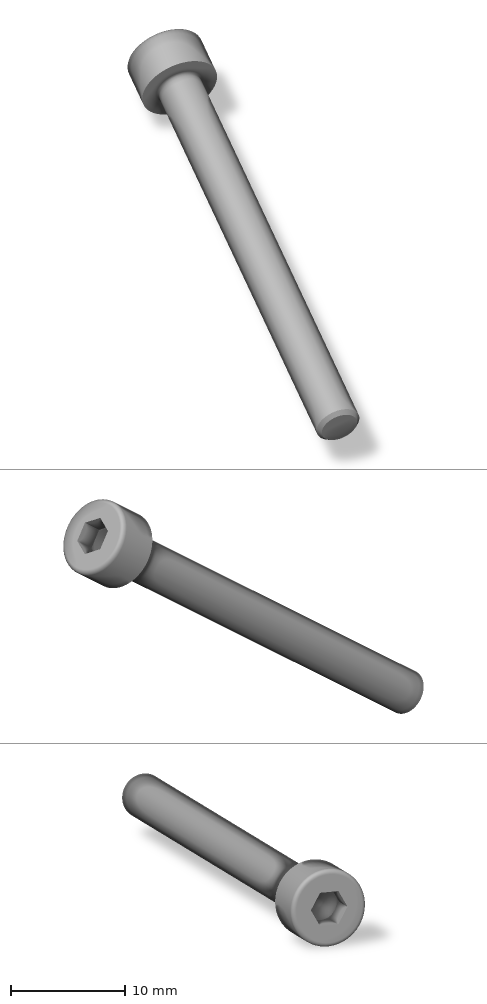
import cadquery as cq
import math

total_length = 44.0
head_diameter = 7.0
head_height = 4.0
head_edge_radius = 0.4
shank_diameter = 4.0
tip_chamfer = 0.35
neck_fillet = 0.18

socket_sides = 6
socket_flats = 3.0
socket_depth = 2.0
socket_cone_angle = 120.0

head_face_x = -total_length / 2
head_back_x = head_face_x + head_height
shank_length = total_length - head_height


def make_head():
    head = cq.Workplane("YZ", origin=(head_face_x, 0, 0)).circle(head_diameter / 2).extrude(head_height)
    return head.faces("<X").edges().fillet(head_edge_radius)


def make_shank():
    shank = cq.Workplane("YZ", origin=(head_back_x, 0, 0)).circle(shank_diameter / 2).extrude(shank_length)
    return shank.faces(">X").edges().chamfer(tip_chamfer)


def round_neck(screw):
    """Fillet the inner corner where the shank leaves the head."""
    neck_edge = screw.edges("%CIRCLE").edges(
        cq.selectors.BoxSelector(
            (head_back_x - neck_fillet, -shank_diameter, -shank_diameter),
            (head_back_x + neck_fillet, shank_diameter, shank_diameter),
        )
    )
    return neck_edge.edges(cq.selectors.RadiusNthSelector(0)).fillet(neck_fillet)


def make_socket():
    corner_diameter = socket_flats / math.cos(math.pi / socket_sides)
    face_plane = cq.Workplane("YZ", origin=(head_face_x, 0, 0))
    hexagon = face_plane.polygon(socket_sides, corner_diameter).extrude(socket_depth)
    cone_radius = socket_flats / 2
    cone_depth = cone_radius / math.tan(math.radians(socket_cone_angle / 2))
    cone = cq.Solid.makeCone(
        cone_radius,
        0,
        cone_depth,
        pnt=cq.Vector(head_face_x + socket_depth, 0, 0),
        dir=cq.Vector(1, 0, 0),
    )
    return hexagon.union(cq.Workplane(cone))


screw = round_neck(make_head().union(make_shank()))
result = screw.cut(make_socket())